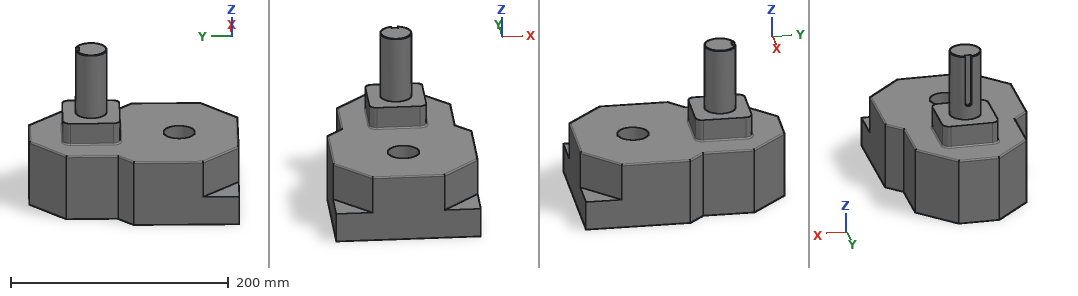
import cadquery as cq

length = 192.2
width = 133.4
housing_height = 63.5
neck_width = 105.0
neck_length = 80.9
corner_cut = 33.5
ledge_height = 27.9
top_edge_break = 1.3

shaft_diameter = 28.8
bore_y = 54.2
shaft_y = 135.0
shaft_top = 147.5
shaft_chamfer = 0.5

boss_side = 52.5
boss_top = 84.4
boss_corner_radius = 6.5
boss_root_radius = 1.3

key_width = 6.0
key_depth = 3.5
key_length = 50.0

half_width = width / 2
half_neck = neck_width / 2
neck_start = length - neck_length
flare_start = neck_start - (half_width - half_neck)


def prism(right_side, bottom, top):
    """Extrude an outline mirrored from the points of its right side."""
    left_side = [(-x, y) for x, y in reversed(right_side)]
    outline = cq.Workplane("XY").workplane(offset=bottom).polyline(right_side + left_side).close()
    return outline.extrude(top - bottom)


def make_housing():
    rear_side = [
        (half_width, flare_start),
        (half_neck, neck_start),
        (half_neck, length - corner_cut),
        (half_neck - corner_cut, length),
    ]
    upper_front = [(half_width - corner_cut, 0), (half_width, corner_cut)]
    lower = prism([(half_width, 0)] + rear_side, 0, ledge_height)
    upper = prism(upper_front + rear_side, ledge_height, housing_height)
    upper = upper.faces(">Z").edges().fillet(top_edge_break)
    return lower.union(upper)


def add_boss(body):
    boss = (
        cq.Workplane("XY", origin=(0, shaft_y, 0))
        .rect(boss_side, boss_side)
        .extrude(boss_top)
        .edges("|Z")
        .fillet(boss_corner_radius)
    )
    half_root = boss_side / 2 + boss_root_radius
    root_edges = cq.selectors.BoxSelector(
        (-half_root, shaft_y - half_root, housing_height - boss_root_radius / 2),
        (half_root, shaft_y + half_root, housing_height + boss_root_radius / 2),
    )
    return body.union(boss).edges(root_edges).fillet(boss_root_radius)


def make_shaft():
    shaft = (
        cq.Workplane("XY", origin=(0, shaft_y, 0))
        .circle(shaft_diameter / 2)
        .extrude(shaft_top)
        .faces(">Z")
        .chamfer(shaft_chamfer)
    )
    half_key = key_width / 2
    key_bottom = shaft_top - key_length
    round_centre = key_bottom + half_key
    key_floor = shaft_y + shaft_diameter / 2 - key_depth
    keyway = (
        cq.Workplane("XZ", origin=(0, key_floor, 0))
        .moveTo(half_key, shaft_top)
        .lineTo(half_key, round_centre)
        .threePointArc((0, key_bottom), (-half_key, round_centre))
        .lineTo(-half_key, shaft_top)
        .close()
        .extrude(-shaft_diameter)
    )
    return shaft.cut(keyway)


bore = cq.Workplane("XY").center(0, bore_y).circle(shaft_diameter / 2).extrude(housing_height)

result = add_boss(make_housing()).union(make_shaft()).cut(bore)